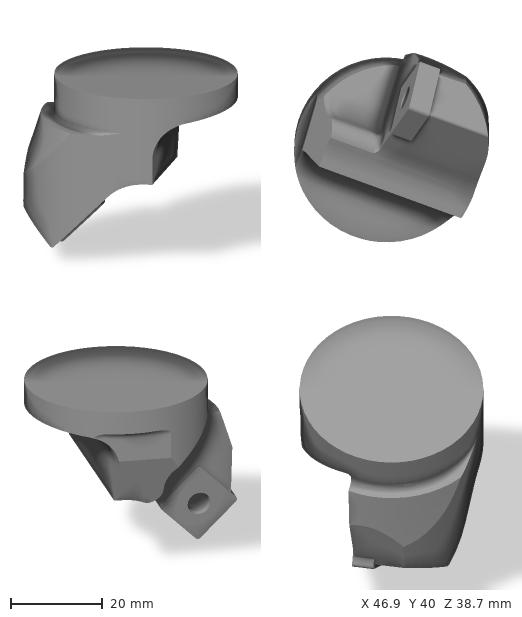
import cadquery as cq
import math

disc_radius = 40.0 / 2
body_depth = 42.2
reach = 56.25

insert_side = 12.7
insert_thickness = 4.8
insert_corner_radius = 0.8
insert_hole_diameter = 5.15
insert_proud = 0.35
tip_x = -18.25
tip_z = -39.0
lean = 0.1

neck_top_z = -7.95
shelf_z = -8.9
neck_radius = 20.95
shelf_radius = 22.95
cone_slope = 0.32
flank_round_radius = 18.25
flank_round_x = -8.9
flank_corner = (-24.6, -11.0)
flank_lean = 0.085
flank_end_y = 3.75

lower_left_inset = 0.55
lower_right_inset = 1.05
underside_z = -21.85
underside_radius = 11.0
lower_nose_radius = 0.55

gullet_top = (-28.1, -2.1)
gullet_bend = (-10.1, -13.05)
gullet_nose = (-6.55, -19.5)
gullet_end = (-2.8, -23.05)
gullet_floor_radius = 1.15

relief_wall_x = 4.65
relief_top_z = -6.1
relief_radius = 7.75
relief_slope = 0.09

back_y = 18.05
back_top_z = -5.15
back_radius = 1.4
back_bend_z = -12.2
back_slope = 0.37

insert_normal = (lean, -1, lean)
rake_y = -lean * (tip_x + tip_z)


def rake_plane(depth=0.0):
    """Plane parallel to the insert face, lowered into the body along Y; local axes follow X and Z."""
    return cq.Workplane(cq.Plane((0, rake_y - depth, 0), (1, lean, 0), insert_normal))


def insert_face():
    """Insert face with its origin at the centre of the square and its sides along the local axes."""
    plane = cq.Plane((tip_x, 0, tip_z), (1, 0, -1), insert_normal)
    return cq.Workplane(plane).center(-insert_side / 2, insert_side / 2)


def insert_block():
    return insert_face().rect(insert_side, insert_side).extrude(insert_thickness)


def make_insert():
    block = insert_block().edges(cq.selectors.ParallelDirSelector(cq.Vector(*insert_normal)))
    hole = insert_face().circle(insert_hole_diameter / 2).extrude(insert_thickness)
    return block.fillet(insert_corner_radius).cut(hole)


def make_shoulder():
    """Coned shoulder below the neck, limited in plan by the flank, its rounding and the front flat."""
    cone_radius = shelf_radius + cone_slope * (body_depth + shelf_z)
    neck_bow = (1 - math.sqrt(0.5)) * (neck_radius - disc_radius)
    turned = (
        cq.Workplane("XZ")
        .moveTo(0, neck_top_z)
        .lineTo(disc_radius, neck_top_z)
        .threePointArc((disc_radius + neck_bow, shelf_z + neck_bow), (neck_radius, shelf_z))
        .lineTo(shelf_radius, shelf_z)
        .lineTo(cone_radius, -body_depth)
        .lineTo(0, -body_depth)
        .close()
        .revolve(360, (0, 0), (0, 1))
    )
    corner_x, corner_y = flank_corner
    round_y = flank_round_radius - disc_radius
    start_angle = math.atan2(corner_y - round_y, corner_x - flank_round_x)
    mid_angle = (start_angle - math.pi / 2) / 2
    round_mid = (
        flank_round_x + flank_round_radius * math.cos(mid_angle),
        round_y + flank_round_radius * math.sin(mid_angle),
    )
    flank_end_x = corner_x - flank_lean * (flank_end_y - corner_y)
    plan = (
        cq.Workplane("XY")
        .moveTo(0, flank_end_y)
        .lineTo(flank_end_x, flank_end_y)
        .lineTo(corner_x, corner_y)
        .threePointArc(round_mid, (flank_round_x, -disc_radius))
        .lineTo(0, -disc_radius)
        .close()
        .extrude(-body_depth)
    )
    return turned.intersect(plan)


def underside_envelope():
    """Everything above the two slanted lower faces and the blended underside."""
    low_x = tip_x + (lower_left_inset - lower_right_inset) / math.sqrt(2)
    low_z = tip_z + (lower_left_inset + lower_right_inset) / math.sqrt(2)
    bend_x = low_x + underside_z - low_z
    tangent = underside_radius * math.tan(math.pi / 8)
    diagonal = tangent / math.sqrt(2)
    envelope = (
        rake_plane()
        .moveTo(low_x, low_z)
        .lineTo(bend_x - diagonal, underside_z - diagonal)
        .tangentArcPoint((bend_x + tangent, underside_z), relative=False)
        .lineTo(reach, underside_z)
        .lineTo(reach, reach)
        .lineTo(low_x - reach, reach)
        .lineTo(low_x - reach, low_z + reach)
        .close()
        .extrude(reach, both=True)
    )
    nose_y = rake_y + lean * (low_x + low_z)
    nose_edge = envelope.edges(cq.selectors.NearestToPointSelector((low_x, nose_y, low_z)))
    return nose_edge.fillet(lower_nose_radius)


def gullet():
    """Space in front of the rake face that carries the chips away."""
    cutter = (
        rake_plane(insert_proud)
        .moveTo(*gullet_top)
        .lineTo(*gullet_bend)
        .tangentArcPoint(gullet_nose, relative=False)
        .tangentArcPoint(gullet_end, relative=False)
        .lineTo(gullet_end[0], -reach)
        .lineTo(-reach, -reach)
        .lineTo(-reach, gullet_top[1])
        .close()
        .extrude(-reach)
    )
    floor = cq.selectors.DirectionMinMaxSelector(cq.Vector(*insert_normal), True)
    return cutter.faces(floor).edges().fillet(gullet_floor_radius)


def side_relief():
    rise_x = relief_wall_x + relief_radius
    arc_offset = relief_radius * (1 - math.sqrt(0.5))
    return (
        cq.Workplane(cq.Plane((0, 0, 0), (1, lean, 0), (lean, -1, 0)))
        .moveTo(relief_wall_x, -reach)
        .lineTo(relief_wall_x, relief_top_z - relief_radius)
        .threePointArc((relief_wall_x + arc_offset, relief_top_z - arc_offset), (rise_x, relief_top_z))
        .lineTo(reach, relief_top_z + relief_slope * (reach - rise_x))
        .lineTo(reach, -reach)
        .close()
        .extrude(reach, both=True)
    )


def back_relief():
    bottom_y = back_y - back_slope * (back_bend_z + reach)
    arc_offset = back_radius * (1 - math.sqrt(0.5))
    return (
        cq.Workplane("YZ")
        .moveTo(reach, back_top_z)
        .lineTo(back_y + back_radius, back_top_z)
        .threePointArc((back_y + arc_offset, back_top_z - arc_offset), (back_y, back_top_z - back_radius))
        .lineTo(back_y, back_bend_z)
        .lineTo(bottom_y, -reach)
        .lineTo(reach, -reach)
        .close()
        .extrude(reach, both=True)
    )


def make_holder():
    core = cq.Workplane("XY").circle(disc_radius).extrude(-body_depth)
    return (
        core.union(make_shoulder())
        .intersect(underside_envelope())
        .cut(gullet())
        .cut(side_relief())
        .cut(back_relief())
        .cut(insert_block())
    )


holder = make_holder()
insert = make_insert()
result = cq.Compound.makeCompound([*holder.vals(), *insert.vals()])